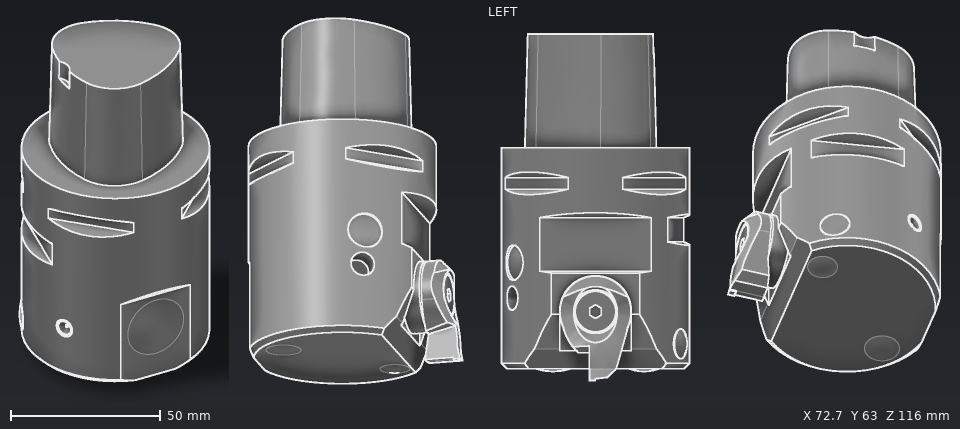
import cadquery as cq
import math


BODY_DIAMETER = 63.0
BODY_RADIUS = BODY_DIAMETER / 2
BODY_LENGTH = 74.0
BODY_CHAMFER = 1.9
OVERRUN = 1.2
REACH = 2 * BODY_RADIUS

SHANK_LENGTH = 38.0
LOBE_RADIUS = 14.6
LOBE_OFFSET = 9.0
SIDE_DEPTH = 20.4
SHANK_TAPER = math.degrees(math.atan(1 / 40))
LOBE_PITCH = 120
LOBE_ANGLES = (90, 210, 330)
KEY_WIDTH = 8.0
KEY_RADIUS = 5.5
KEY_DEPTH = 6.6
KEY_BACK = 18.0

GRIP_DIRECTIONS = (45, 135, 225, 315)
GRIP_FLOOR = 27.7
GRIP_HEIGHT = 3.8
GRIP_Z = -12.0
GRIP_FLARE = 0.5
SLOT_DIRECTION = 260
SLOT_FLOOR = 27.3
SLOT_HEIGHT = 8.1
SLOT_Z = -27.5
POCKET_DIRECTION = 180
POCKET_FLOOR = 25.4
POCKET_HEIGHT = 17.9
POCKET_Z = -32.4
WALL_FLARE = math.tan(math.radians(15))

NOSE_FACE = 27.8
NOSE_KNEE_Z = -55.7
NOSE_HEEL = (-24.0, -67.3)
NOSE_FOOT_X = -19.5
BACK_FLAT = 28.7
BACK_FLAT_Z = -42.2

TOOL_Z = -54.9
SEAT_DIAMETER = 24.0
SEAT_FACE = -29.7
SEAT_RELIEF = -23.5

PLUG_DIAMETER = 10.0
PLUG_HEIGHT = 0.7
SIDE_PLUG_DIRECTION = 245
SIDE_PLUG_Z = -65.7
BASE_PLUGS = ((-13.8, -16.2, PLUG_DIAMETER), (16.7, 14.2, 11.7))
BASE_PLUG_HEIGHT = 0.9
BACK_PLUG_DIAMETER = 21.1
BACK_PLUG_HEIGHT = 1.7
DIMPLE_DIRECTION = 119
NOZZLE_DIRECTION = DIMPLE_DIRECTION + 180
NOZZLE_Z = -55.0
NOZZLE_DIAMETER = 6.3
NOZZLE_CONE_DIAMETER = 5.0
NOZZLE_BORE = 1.0
NOZZLE_STEP = 0.3
NOZZLE_CONE_DEPTH = 1.4
NOZZLE_BORE_DEPTH = 0.6
SIDE_HOLE_DIRECTION = 117.3
SIDE_HOLE_Z = -50.3
SIDE_HOLE_DIAMETER = 8.0
SIDE_HOLE_DEPTH = 9.3
DIMPLE_Z = -38.5
DIMPLE_DIAMETER = 11.7
DIMPLE_DEPTH = 1.2

INSERT_DIAMETER = 23.8
INSERT_RADIUS = INSERT_DIAMETER / 2
INSERT_BACK = -30.4
INSERT_EDGE = -34.6
INSERT_CONE_SLOPE = 0.95
HEEL_CORNER = (5.8, -13.7)
HEEL_BULGE = (9.2, -9.4)
HEEL_BEVEL = 2.5
TIP_Y = 2.1
TIP_END = -22.5
LEG_CORNER = (-7.0, -19.1)
TIP_CORNER = (-4.0, -22.0)
OVERALL_LENGTH = 116.0
LIP_END = SHANK_LENGTH - OVERALL_LENGTH
LIP_BACK = -38.9
CREST_DEPTH = 13.9
FRONT_ARC_RADIUS = 18.0
HEAD_CREST = (
    (-38.3, -42.3),
    (-38.2, -47.6),
    (-38.3, -53.4),
    (-38.6, -58.0),
    (-39.5, -64.6),
    (-40.1, -68.4),
    (-40.5, -74.0),
)
OVERALL_WIDTH = 72.7
TIP_X = BODY_RADIUS - OVERALL_WIDTH
LEG_BACK_Z = -68.3
LEG_BACK_END = -29.0

HEAD_DIAMETER = 13.6
HEAD_FACE = -36.9
HEAD_SEAT = -32.5
HEAD_RECESS_DIAMETER = 14.6
SINK_START = HEAD_FACE
SINK_DEPTH = 5.8
SINK_FLARE = 1.1
SCREW_DIAMETER = 6.0
SCREW_END = -17.4
HEX_FLATS = 4.0
HEX_DEPTH = 2.3


def rod(x_start, x_end, diameter, z):
    """Cylinder along X at height z."""
    return cq.Workplane("YZ", origin=(x_start, 0, z)).circle(diameter / 2).extrude(x_end - x_start)


def turned(x_radius_points, z):
    """Solid turned about a line parallel to X at height z, from (x, radius) points."""
    profile = cq.Workplane("XY", origin=(0, 0, z)).polyline(x_radius_points).close()
    return profile.revolve(360, (0, 0, 0), (1, 0, 0))


def side_prism(points):
    """Prism along Y, right through the part, from (x, z) points."""
    return cq.Workplane("XZ").polyline(points).close().extrude(REACH, both=True)


def turn_to(direction, shape):
    """Swing a shape built towards +X about the Z axis."""
    return shape.rotate((0, 0, 0), (0, 0, 1), direction)


def dome(diameter, height, root):
    """Round plug along +Z with a root below Z = 0 and a spherical cap above it."""
    half = diameter / 2
    return (
        cq.Workplane("XZ")
        .moveTo(0, -root)
        .lineTo(half, -root)
        .lineTo(half, 0)
        .radiusArc((0, height), -(half**2 + height**2) / (2 * height))
        .close()
        .revolve(360, (0, 0, 0), (0, 1, 0))
    )


def side_dome(diameter, height, root, distance, z):
    """Dome pointing along +X, its rim at the given distance from the axis."""
    upright = dome(diameter, height, root)
    return upright.rotate((0, 0, 0), (0, 1, 0), 90).translate((distance, 0, z))


def groove(direction, floor, height, z, flare):
    """Straight groove across the body, its upper and lower walls flaring outwards."""
    half_floor = height / 2
    half_mouth = half_floor + flare * (REACH - floor)
    section = [
        (floor, z - half_floor),
        (REACH, z - half_mouth),
        (REACH, z + half_mouth),
        (floor, z + half_floor),
    ]
    return turn_to(direction, side_prism(section))


def polar(radius, degrees):
    angle = math.radians(degrees)
    return radius * math.cos(angle), radius * math.sin(angle)


def shank():
    """Three small lobe arcs joined tangentially by three large side arcs, tapering upwards."""
    lobe_reach = LOBE_OFFSET + LOBE_RADIUS
    excess = lobe_reach - SIDE_DEPTH
    side_offset = (2 * excess * LOBE_OFFSET - excess**2) / (LOBE_OFFSET - 2 * excess)
    run = side_offset * math.sin(math.radians(LOBE_PITCH / 2))
    rise = LOBE_OFFSET + side_offset * math.cos(math.radians(LOBE_PITCH / 2))
    from_lobe = math.atan2(run, rise)
    join_x = LOBE_OFFSET + LOBE_RADIUS * math.cos(from_lobe)
    join_y = LOBE_RADIUS * math.sin(from_lobe)
    join_radius = math.hypot(join_x, join_y)
    join_angle = math.degrees(math.atan2(join_y, join_x))

    outline = cq.Workplane("XY").moveTo(*polar(join_radius, LOBE_ANGLES[0] - join_angle))
    for lobe in LOBE_ANGLES:
        outline = outline.threePointArc(polar(lobe_reach, lobe), polar(join_radius, lobe + join_angle))
        next_join = polar(join_radius, lobe + LOBE_PITCH - join_angle)
        outline = outline.threePointArc(polar(SIDE_DEPTH, lobe + LOBE_PITCH / 2), next_join)
    solid = outline.close().extrude(SHANK_LENGTH, taper=SHANK_TAPER)

    notch = (
        cq.Workplane("XY", origin=(0, -KEY_BACK - KEY_RADIUS, SHANK_LENGTH - KEY_DEPTH))
        .circle(KEY_RADIUS)
        .extrude(KEY_DEPTH)
    )
    notch_sides = cq.Workplane("XY").box(KEY_WIDTH, REACH, REACH).translate((0, 0, SHANK_LENGTH))
    return solid.cut(notch.intersect(notch_sides))


def nose_cut():
    """Material outside the two-step sloping nose on the -X side, below the pocket."""
    return side_prism([
        (-NOSE_FACE, POCKET_Z),
        (-NOSE_FACE, NOSE_KNEE_Z),
        NOSE_HEEL,
        (NOSE_FOOT_X, -BODY_LENGTH),
        (-REACH, -BODY_LENGTH),
        (-REACH, POCKET_Z),
    ])


def back_flat_cut():
    """Flat on the +X side, running out through a 45 degree ledge."""
    return side_prism([
        (BACK_FLAT, -BODY_LENGTH),
        (BACK_FLAT, BACK_FLAT_Z),
        (REACH, BACK_FLAT_Z + REACH - BACK_FLAT),
        (REACH, -BODY_LENGTH),
    ])


def seat_relief():
    """Flat-walled relief under the seat disc, as wide as the disc."""
    depth = BODY_LENGTH + TOOL_Z
    block = cq.Workplane("XY").box(REACH, SEAT_DIAMETER, depth)
    return block.translate((SEAT_RELIEF - REACH / 2, 0, TOOL_Z - depth / 2))


def nozzle():
    """Shallow step, conical dish and fine bore sunk into the side."""
    step = BODY_RADIUS - NOZZLE_STEP
    dish = step - NOZZLE_CONE_DEPTH
    bore = dish - NOZZLE_BORE_DEPTH
    profile = [
        (bore, 0),
        (bore, NOZZLE_BORE / 2),
        (dish, NOZZLE_BORE / 2),
        (step, NOZZLE_CONE_DIAMETER / 2),
        (step, NOZZLE_DIAMETER / 2),
        (REACH, NOZZLE_DIAMETER / 2),
        (REACH, 0),
    ]
    return turn_to(NOZZLE_DIRECTION, turned(profile, NOZZLE_Z))


def make_housing():
    body = cq.Workplane("XY").circle(BODY_RADIUS).extrude(-BODY_LENGTH)
    body = body.faces("<Z").chamfer(BODY_CHAMFER)

    for direction in GRIP_DIRECTIONS:
        body = body.cut(groove(direction, GRIP_FLOOR, GRIP_HEIGHT, GRIP_Z, GRIP_FLARE))
    body = body.cut(groove(SLOT_DIRECTION, SLOT_FLOOR, SLOT_HEIGHT, SLOT_Z, WALL_FLARE))
    body = body.cut(nose_cut())
    body = body.cut(groove(POCKET_DIRECTION, POCKET_FLOOR, POCKET_HEIGHT, POCKET_Z, WALL_FLARE))
    body = body.cut(back_flat_cut())

    body = body.cut(seat_relief())
    body = body.union(rod(SEAT_FACE, SEAT_RELIEF + OVERRUN, SEAT_DIAMETER, TOOL_Z))
    body = body.cut(rod(SEAT_FACE, SCREW_END, SCREW_DIAMETER, TOOL_Z))

    side_plug = side_dome(PLUG_DIAMETER, PLUG_HEIGHT, PLUG_HEIGHT, BODY_RADIUS, SIDE_PLUG_Z)
    body = body.union(turn_to(SIDE_PLUG_DIRECTION, side_plug))
    body = body.union(side_dome(BACK_PLUG_DIAMETER, BACK_PLUG_HEIGHT, BACK_PLUG_HEIGHT, BACK_FLAT, TOOL_Z))
    for x, y, diameter in BASE_PLUGS:
        base_plug = dome(diameter, BASE_PLUG_HEIGHT, PLUG_HEIGHT).rotate((0, 0, 0), (1, 0, 0), 180)
        body = body.union(base_plug.translate((x, y, -BODY_LENGTH)))

    body = body.cut(nozzle())
    hole = rod(BODY_RADIUS - SIDE_HOLE_DEPTH, REACH, SIDE_HOLE_DIAMETER, SIDE_HOLE_Z)
    body = body.cut(turn_to(SIDE_HOLE_DIRECTION, hole))
    dimple_floor = BODY_RADIUS - DIMPLE_DEPTH
    dimple = rod(dimple_floor, REACH, DIMPLE_DIAMETER, DIMPLE_Z)
    dimple = dimple.cut(side_dome(DIMPLE_DIAMETER, PLUG_HEIGHT, PLUG_HEIGHT, dimple_floor, DIMPLE_Z))
    body = body.cut(turn_to(DIMPLE_DIRECTION, dimple))

    return body.union(shank())


def tangent_point(corner, side):
    """Point where a line from the corner touches the insert's round rim (side is +1 or -1)."""
    y, z = corner
    angle = math.atan2(z, y) + side * math.acos(INSERT_RADIUS / math.hypot(y, z))
    return INSERT_RADIUS * math.cos(angle), INSERT_RADIUS * math.sin(angle)


def crest_block(path):
    """Block with a front face rounded across Y, swept down a path in the XZ plane."""
    half_width = INSERT_RADIUS + OVERRUN
    sag = FRONT_ARC_RADIUS - math.sqrt(FRONT_ARC_RADIUS**2 - half_width**2)
    start = path.val().startPoint()
    section = (
        cq.Workplane("XY", origin=start.toTuple())
        .moveTo(CREST_DEPTH, -half_width)
        .lineTo(sag, -half_width)
        .threePointArc((0, 0), (sag, half_width))
        .lineTo(CREST_DEPTH, half_width)
        .close()
    )
    return section.sweep(path)


def insert_blank():
    outline = (
        cq.Workplane("YZ", origin=(TIP_X, 0, TOOL_Z))
        .moveTo(*tangent_point(HEEL_BULGE, 1))
        .threePointArc((0, INSERT_RADIUS), tangent_point(LEG_CORNER, -1))
        .lineTo(*LEG_CORNER)
        .lineTo(*TIP_CORNER)
        .lineTo(0, TIP_END)
        .lineTo(0, LIP_END - TOOL_Z)
        .lineTo(TIP_Y, LIP_END - TOOL_Z)
        .lineTo(TIP_Y, HEEL_CORNER[1])
        .lineTo(*HEEL_CORNER)
        .threePointArc(HEEL_BULGE, tangent_point(HEEL_BULGE, 1))
        .close()
        .extrude(LEG_BACK_END - TIP_X)
    )
    head_block = crest_block(cq.Workplane("XZ").spline(HEAD_CREST))
    tip_block = crest_block(cq.Workplane("XZ").polyline([HEAD_CREST[-1], (TIP_X, LIP_END)]))
    return outline.intersect(head_block.union(tip_block))


def make_insert():
    insert = insert_blank()

    insert = insert.cut(side_prism([
        (INSERT_BACK, 0),
        (INSERT_BACK, LEG_BACK_Z),
        (LEG_BACK_END, LIP_END),
        (0, LIP_END),
        (0, 0),
    ]))

    cone_rise = INSERT_CONE_SLOPE * INSERT_RADIUS
    cone = turned([
        (INSERT_EDGE, INSERT_RADIUS),
        (INSERT_EDGE - cone_rise, 0),
        (INSERT_EDGE - cone_rise, INSERT_RADIUS + OVERRUN),
        (INSERT_EDGE, INSERT_RADIUS + OVERRUN),
    ], TOOL_Z)
    above = cq.Workplane("XY").box(REACH * 2, REACH, REACH).translate((0, 0, TOOL_Z + REACH / 2))
    insert = insert.cut(cone.intersect(above))

    heel_z = TOOL_Z + HEEL_CORNER[1]
    bevel = (
        cq.Workplane("XZ", origin=(0, TIP_Y, 0))
        .polyline([(INSERT_BACK, heel_z), (TIP_X, heel_z + HEEL_BEVEL), (TIP_X, heel_z)])
        .close()
        .extrude(-INSERT_RADIUS)
    )
    insert = insert.cut(bevel)

    insert = insert.cut(
        cq.Workplane("XY")
        .box(REACH, REACH, TOOL_Z + TIP_END - LIP_END)
        .translate((LIP_BACK + REACH / 2, 0, (TOOL_Z + TIP_END + LIP_END) / 2))
    )

    recess_radius = HEAD_RECESS_DIAMETER / 2
    insert = insert.cut(turned([
        (HEAD_SEAT, 0),
        (HEAD_SEAT, recess_radius),
        (SINK_START, recess_radius),
        (SINK_START - SINK_DEPTH, recess_radius + SINK_FLARE * SINK_DEPTH),
        (SINK_START - SINK_DEPTH, 0),
    ], TOOL_Z))
    return insert.cut(rod(HEAD_SEAT, SEAT_FACE, SCREW_DIAMETER, TOOL_Z))


def make_screw():
    screw = rod(HEAD_FACE, HEAD_SEAT, HEAD_DIAMETER, TOOL_Z)
    screw = screw.union(rod(HEAD_SEAT, SCREW_END, SCREW_DIAMETER, TOOL_Z))
    socket = (
        cq.Workplane("YZ", origin=(HEAD_FACE, 0, TOOL_Z))
        .polygon(6, HEX_FLATS, circumscribed=True)
        .extrude(HEX_DEPTH)
    )
    return screw.cut(socket)


housing = make_housing()
insert = make_insert()
screw = make_screw()

result = cq.Compound.makeCompound([housing.solids().val(), insert.solids().val(), screw.solids().val()])